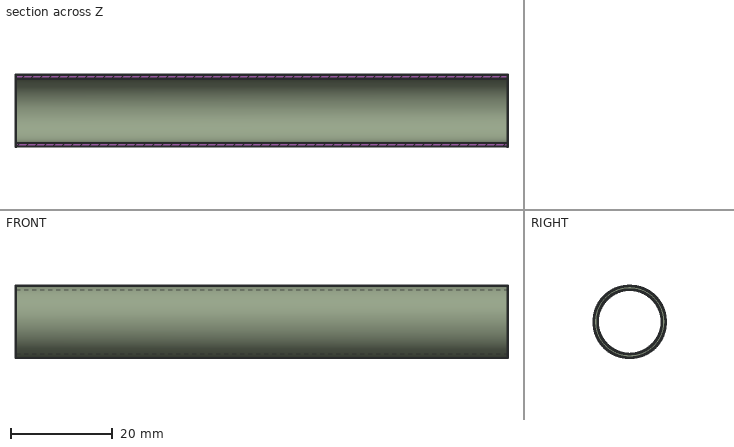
import cadquery as cq

length = 96.9
outer_diameter = 14.2
bore_diameter = 12.6
rim_chamfer = 0.1

tube = (
    cq.Workplane("YZ", origin=(-length / 2, 0, 0))
    .circle(outer_diameter / 2)
    .circle(bore_diameter / 2)
    .extrude(length)
)

end_rims = tube.faces("|X").edges()
result = end_rims.chamfer(rim_chamfer)